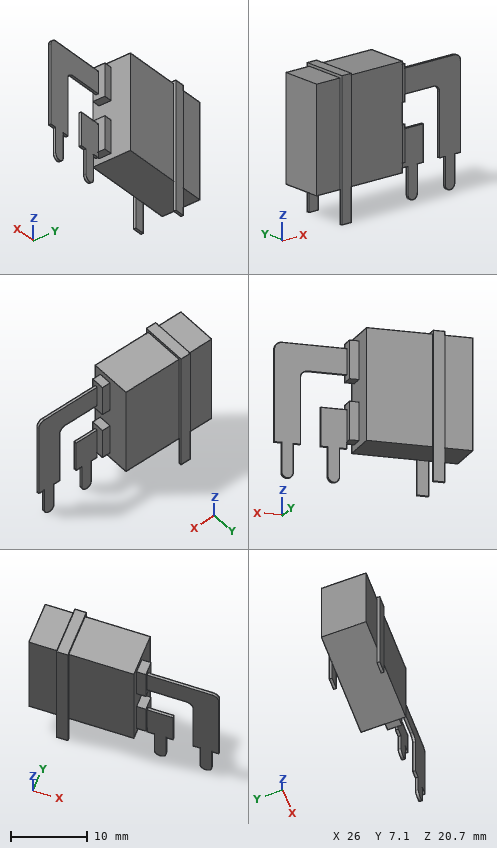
import cadquery as cq

body_length = 14.7
body_width = 6.3
body_height = 15.5

strap_thickness = 0.4
strap_width = 1.6
strap_offset = 4.0

leg_length = 4.8

collar_length = 1.3
collar_width = 2.0
collar_height = 5.3
collar_margin = 0.9
collar_y = -1.1

blade_thickness = 0.4
blade_width = 3.6
blade_y = -1.4
blade_start = body_length + collar_length
hook_length = 10.0
hook_outer_radius = 1.0
hook_inner_radius = 1.0
pin_width = 1.6
pin_inset = 1.0

upper_collar_z = body_height - collar_margin - collar_height / 2
lower_collar_z = collar_margin + collar_height / 2
hook_top = upper_collar_z + blade_width / 2
lower_blade_top = lower_collar_z + blade_width / 2
hook_end = blade_start + hook_length


def make_body():
    return cq.Workplane("XY").box(body_length, body_width, body_height, centered=(False, True, False))


def make_strap():
    outer_width = body_width + 2 * strap_thickness
    band = (
        cq.Workplane("XY", origin=(strap_offset, 0, -leg_length))
        .box(strap_width, outer_width, leg_length + body_height + strap_thickness,
             centered=(False, True, False))
    )
    opening = (
        cq.Workplane("XY", origin=(strap_offset, 0, -leg_length))
        .box(strap_width, body_width, leg_length + body_height, centered=(False, True, False))
    )
    return band.cut(opening)


def make_collar(center_z):
    return (
        cq.Workplane("XY", origin=(body_length, collar_y, center_z))
        .box(collar_length, collar_width, collar_height, centered=(False, True, True))
    )


def blade_plane():
    return cq.Workplane("XZ", origin=(0, blade_y + blade_thickness / 2, 0))


def make_pin(left):
    radius = pin_width / 2
    right = left + pin_width
    round_start = radius - leg_length
    return (
        blade_plane()
        .moveTo(left, 0)
        .lineTo(left, round_start)
        .threePointArc((left + radius, -leg_length), (right, round_start))
        .lineTo(right, 0)
        .close()
        .extrude(blade_thickness)
    )


def make_hook_terminal():
    inner_x = hook_end - blade_width
    inner_z = hook_top - blade_width
    hook = (
        blade_plane()
        .moveTo(blade_start, hook_top)
        .lineTo(hook_end - hook_outer_radius, hook_top)
        .radiusArc((hook_end, hook_top - hook_outer_radius), hook_outer_radius)
        .lineTo(hook_end, 0)
        .lineTo(inner_x, 0)
        .lineTo(inner_x, inner_z - hook_inner_radius)
        .radiusArc((inner_x - hook_inner_radius, inner_z), -hook_inner_radius)
        .lineTo(blade_start, inner_z)
        .close()
        .extrude(blade_thickness)
    )
    return hook.union(make_pin(inner_x + pin_inset))


def make_straight_terminal():
    blade = (
        blade_plane()
        .moveTo(blade_start, 0)
        .rect(blade_width, lower_blade_top, centered=False)
        .extrude(blade_thickness)
    )
    return blade.union(make_pin(blade_start + pin_inset))


result = make_body().union(make_strap())
for center_z in (upper_collar_z, lower_collar_z):
    result = result.union(make_collar(center_z))
result = result.union(make_hook_terminal()).union(make_straight_terminal())